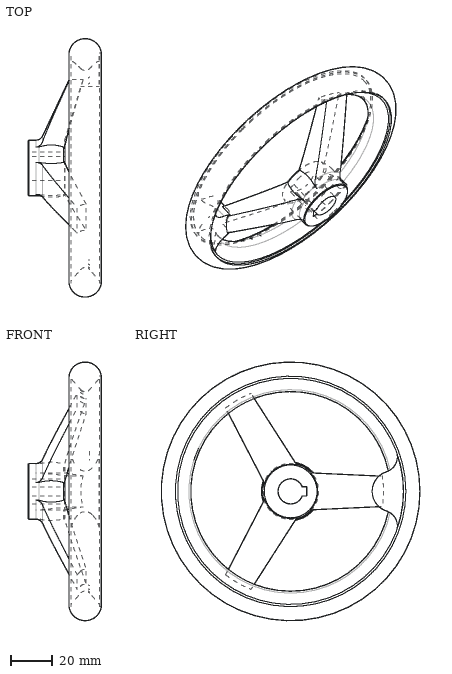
import cadquery as cq
import math


wheel_radius = 62.5
overall_width = 35.5
grip_width = 15.9
core_half_width = 6.9
core_inner_radius = 48.1
core_nose_radius = 2.9
grip_edge_radius = 55.6
grip_radius = grip_width / 2
rim_center_x = overall_width - grip_radius
rim_center_radius = wheel_radius - grip_radius

hub_nose_radius = 13.5
barrel_radius = 14.2
barrel_start_x = 5.2
hub_length = 17.9
nose_chamfer = 0.4
hub_rear_chamfer = 0.7
bore_radius = 6.0
key_width = 4.4
key_top = 7.7

spoke_count = 3
spoke_root_radius = 12.0
spoke_root_half_width = 8.9
spoke_tip_radius = 52.5
spoke_tip_half_width = 7.0
spoke_front_x = 7.0
spoke_front_radius = 15.5
spoke_front_slope = 0.47
spoke_rear_x = 17.5
spoke_rear_radius = 12.9
spoke_rear_slope = 0.3
nose_fillet = 3.6

boss_radius = 10.0
boss_center_y = 49.4
boss_fillet = 7.5
boss_inset = 0.1
boss_width = 2 * (core_half_width - boss_inset)


def revolve_about_x(profile):
    """Turn an (x, radius) profile a full turn about the X axis."""
    return profile.close().revolve(360, (0, 0, 0), (1, 0, 0))


def front_x(radius):
    return spoke_front_x + spoke_front_slope * (radius - spoke_front_radius)


def rear_x(radius):
    return spoke_rear_x + spoke_rear_slope * (radius - spoke_rear_radius)


def make_rim():
    nose_center_radius = core_inner_radius + core_nose_radius
    edge_rise = rim_center_radius - nose_center_radius
    edge_distance = math.hypot(core_half_width, edge_rise)
    tangent_angle = math.atan2(edge_rise, core_half_width) - math.acos(core_nose_radius / edge_distance)
    tangent_offset = core_nose_radius * math.cos(tangent_angle)
    tangent_radius = nose_center_radius + core_nose_radius * math.sin(tangent_angle)
    core = revolve_about_x(
        cq.Workplane("XY")
        .moveTo(rim_center_x - core_half_width, grip_edge_radius)
        .lineTo(rim_center_x - core_half_width, rim_center_radius)
        .lineTo(rim_center_x - tangent_offset, tangent_radius)
        .threePointArc((rim_center_x, core_inner_radius),
                       (rim_center_x + tangent_offset, tangent_radius))
        .lineTo(rim_center_x + core_half_width, rim_center_radius)
        .lineTo(rim_center_x + core_half_width, grip_edge_radius)
    )
    edge_offset = math.sqrt(grip_radius**2 - (grip_edge_radius - rim_center_radius)**2)
    grip = revolve_about_x(
        cq.Workplane("XY")
        .moveTo(rim_center_x - edge_offset, grip_edge_radius)
        .threePointArc((rim_center_x, wheel_radius),
                       (rim_center_x + edge_offset, grip_edge_radius))
    )
    return core.union(grip)


def make_hub():
    """Nose cylinder followed by a slightly bulging barrel."""
    barrel_end_x = hub_length - hub_rear_chamfer
    return revolve_about_x(
        cq.Workplane("XY")
        .moveTo(0, 0)
        .lineTo(0, hub_nose_radius - nose_chamfer)
        .lineTo(nose_chamfer, hub_nose_radius)
        .lineTo(barrel_start_x, hub_nose_radius)
        .threePointArc(((barrel_start_x + barrel_end_x) / 2, barrel_radius),
                       (barrel_end_x, hub_nose_radius))
        .lineTo(hub_length, hub_nose_radius - hub_rear_chamfer)
        .lineTo(hub_length, 0)
    )


cone_angle = math.atan2(1, spoke_front_slope)
fillet_tangent = nose_fillet * math.tan(cone_angle / 2)
fillet_start_x = front_x(hub_nose_radius) - fillet_tangent
fillet_end_radius = hub_nose_radius + fillet_tangent * math.sin(cone_angle)
fillet_end_x = front_x(fillet_end_radius)


def make_spokes():
    shell = revolve_about_x(
        cq.Workplane("XY")
        .moveTo(fillet_start_x, bore_radius)
        .lineTo(fillet_start_x, hub_nose_radius)
        .radiusArc((fillet_end_x, fillet_end_radius), -nose_fillet)
        .lineTo(front_x(spoke_tip_radius), spoke_tip_radius)
        .lineTo(rear_x(spoke_tip_radius), spoke_tip_radius)
        .lineTo(rear_x(spoke_rear_radius), spoke_rear_radius)
        .lineTo(spoke_rear_x, bore_radius)
    )
    tip_y = spoke_tip_radius + core_half_width
    taper = (spoke_root_half_width - spoke_tip_half_width) / (spoke_tip_radius - spoke_root_radius)
    center_half_width = spoke_root_half_width + taper * spoke_root_radius
    tip_half_width = center_half_width - taper * tip_y
    outline = (
        cq.Workplane("YZ")
        .polyline([(0, -center_half_width), (tip_y, -tip_half_width),
                   (tip_y, tip_half_width), (0, center_half_width)])
        .close()
        .extrude(overall_width)
    )
    spoke = shell.intersect(outline)
    spokes = spoke
    for index in range(1, spoke_count):
        spokes = spokes.union(spoke.rotate((0, 0, 0), (1, 0, 0), index * 360 / spoke_count))
    return spokes


def make_boss():
    """Round boss flared into the rim by a concave fillet on each side."""
    reach = rim_center_radius - boss_fillet
    spread = boss_radius + boss_fillet
    fillet_y = (reach**2 - spread**2 + boss_center_y**2) / (2 * boss_center_y)
    fillet_z = math.sqrt(reach**2 - fillet_y**2)
    boss_share = boss_radius / spread
    boss_touch_y = boss_center_y + (fillet_y - boss_center_y) * boss_share
    boss_touch_z = fillet_z * boss_share
    rim_touch_y = fillet_y * rim_center_radius / reach
    rim_touch_z = fillet_z * rim_center_radius / reach
    return (
        cq.Workplane("YZ", origin=(rim_center_x - boss_width / 2, 0, 0))
        .moveTo(rim_touch_y, -rim_touch_z)
        .radiusArc((boss_touch_y, -boss_touch_z), -boss_fillet)
        .threePointArc((boss_center_y - boss_radius, 0), (boss_touch_y, boss_touch_z))
        .radiusArc((rim_touch_y, rim_touch_z), -boss_fillet)
        .threePointArc((rim_center_radius, 0), (rim_touch_y, -rim_touch_z))
        .close()
        .extrude(boss_width)
    )


def make_bore():
    bore = cq.Workplane("YZ").circle(bore_radius).extrude(overall_width)
    keyway = cq.Workplane("YZ").center(key_top / 2, 0).rect(key_top, key_width).extrude(overall_width)
    return bore.union(keyway)


result = make_rim().union(make_boss()).union(make_spokes()).union(make_hub()).cut(make_bore())